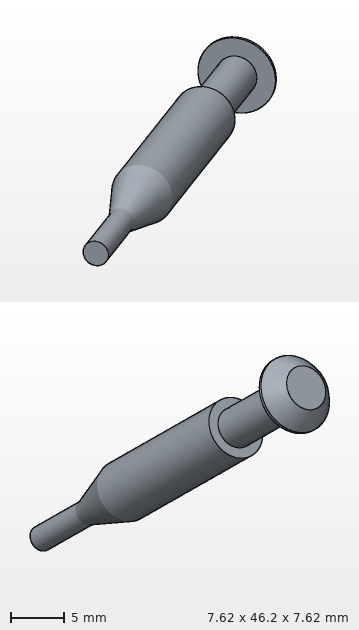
import cadquery as cq

total_length = 46.2
tip_length = 8.0
taper_length = 6.5
shank_length = 10.03
head_height = 2.2
rim_height = 0.32

tip_radius = 1.25
barrel_radius = 3.0
shank_radius = 2.0
head_radius = 3.81
crown_radius = 2.15
dome_bulge = 0.15

tip_end = -total_length / 2
taper_start = tip_end + tip_length
barrel_start = taper_start + taper_length
crown_end = total_length / 2
head_seat = crown_end - head_height
shank_start = head_seat - shank_length
rim_end = head_seat + rim_height


def revolve_about_y(profile):
    """Turn a closed half profile into a round solid about the Y axis."""
    return profile.close().revolve(360, (0, 0, 0), (0, 1, 0))


def make_pin():
    """Cylindrical barrel tapering down to a thin straight tip."""
    profile = (
        cq.Workplane("XY")
        .moveTo(0, tip_end)
        .lineTo(tip_radius, tip_end)
        .lineTo(tip_radius, taper_start)
        .lineTo(barrel_radius, barrel_start)
        .lineTo(barrel_radius, shank_start)
        .lineTo(0, shank_start)
    )
    return revolve_about_y(profile)


def make_screw():
    """Plain shank standing on the barrel's end, with a domed button head."""
    profile = (
        cq.Workplane("XY")
        .moveTo(0, shank_start)
        .lineTo(shank_radius, shank_start)
        .lineTo(shank_radius, head_seat)
        .lineTo(head_radius, head_seat)
        .lineTo(head_radius, rim_end)
        .sagittaArc((crown_radius, crown_end), -dome_bulge)
        .lineTo(0, crown_end)
    )
    return revolve_about_y(profile)


pin = make_pin()
screw = make_screw()

result = cq.Compound.makeCompound([pin.val(), screw.val()])